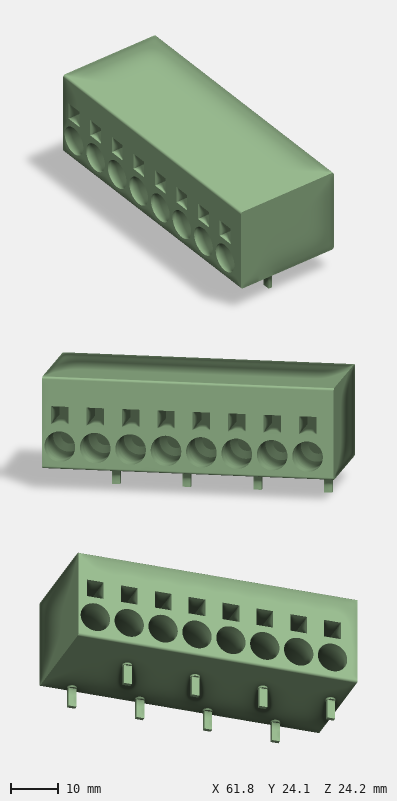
import cadquery as cq


LENGTH = 61.8
DEPTH = 24.15
HEIGHT = 19.6
EDGE_RADIUS = 0.5

POLES = 8
END_ALLOWANCE = 1.8
PITCH = (LENGTH - END_ALLOWANCE) / POLES
FIRST_OPENING_X = PITCH / 2

HOLE_DIAMETER = 6.5
HOLE_DEPTH = 9.9
SEAT_FLOOR_DIAMETER = 4.0
SEAT_DEPTH = 2.05
HOLE_Z = 4.8

POCKET_WIDTH = 3.7
POCKET_HEIGHT = 3.9
POCKET_DEPTH = 9.9
POCKET_Z = 11.45

PIN_WIDTH = 1.7
PIN_THICKNESS = 0.9
PIN_LENGTH = 4.65
COLLAR_DIAMETER = 2.1
COLLAR_HEIGHT = 0.4
PIN_OFFSET_X = 2.8
FRONT_ROW_Y = 9.1
ROW_SPACING = 13.2
REAR_ROW_Y = FRONT_ROW_Y + ROW_SPACING


def opening_x(pole):
    """X of the wire hole and pocket axis of a pole."""
    return FIRST_OPENING_X + pole * PITCH


def make_block():
    """Plain block with its four long edges rounded."""
    block = cq.Workplane("XY").box(LENGTH, DEPTH, HEIGHT, centered=False)
    return block.edges("|X").fillet(EDGE_RADIUS)


def make_wire_hole(x):
    """Cylinder that narrows through a cone to a flat floor, as a profile revolved about the hole axis."""
    mouth_radius = HOLE_DIAMETER / 2
    floor_radius = SEAT_FLOOR_DIAMETER / 2
    profile = cq.Workplane("XY").polyline([
        (0, 0),
        (mouth_radius, 0),
        (mouth_radius, HOLE_DEPTH),
        (floor_radius, HOLE_DEPTH + SEAT_DEPTH),
        (0, HOLE_DEPTH + SEAT_DEPTH),
    ]).close()
    return profile.revolve(360, (0, 0), (0, 1)).translate((x, 0, HOLE_Z))


def make_pocket(x):
    """Straight rectangular pocket behind the wire-entry face."""
    pocket = cq.Workplane("XY").box(POCKET_WIDTH, POCKET_DEPTH, POCKET_HEIGHT, centered=(True, False, True))
    return pocket.translate((x, 0, POCKET_Z))


def make_housing():
    """Block with one wire hole and one pocket for each pole."""
    housing = make_block()
    for pole in range(POLES):
        x = opening_x(pole)
        housing = housing.cut(make_wire_hole(x)).cut(make_pocket(x))
    return housing


def make_pin(x, y):
    """Rectangular pin hanging from a round collar that touches the underside of the housing."""
    collar = cq.Workplane("XY").circle(COLLAR_DIAMETER / 2).extrude(-COLLAR_HEIGHT)
    shank = cq.Workplane("XY").rect(PIN_WIDTH, PIN_THICKNESS).extrude(-PIN_LENGTH)
    return collar.union(shank).translate((x, y, 0))


housing = make_housing()

pins = []
for pole in range(POLES):
    row_y = REAR_ROW_Y if pole % 2 == 0 else FRONT_ROW_Y
    pins.append(make_pin(opening_x(pole) + PIN_OFFSET_X, row_y))

result = cq.Compound.makeCompound([housing.val(), *[pin.val() for pin in pins]])